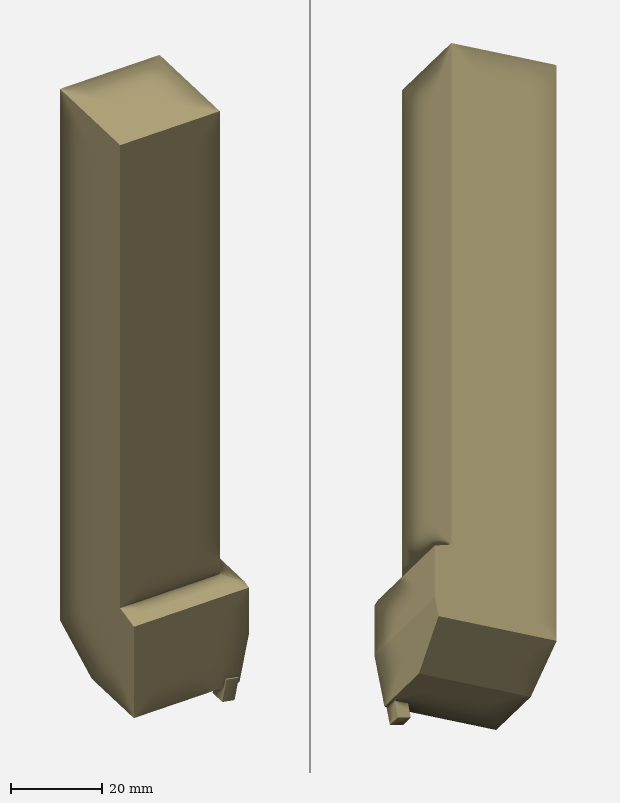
import cadquery as cq
import math

total_length = 152.5
shank_side = 25.5
shank_bottom_z = 39.8

head_width = 31.3
head_depth = 29.4
head_bottom_z = 4.0
shoulder_z = 29.7
shoulder_angle = 15.0
corner_cut_width = 13.4
corner_cut_height = 7.6
relief_top_z = 16.0
relief_depth = 2.5

insert_right_x = 31.7
insert_width = 4.1
insert_thickness = 3.2
insert_length = 5.6
insert_tip_y = 25.5
insert_tilt = 11.0


def shoulder_drop(overhang):
    """Fall of the sloping shoulder over a given overhang."""
    return overhang * math.tan(math.radians(shoulder_angle))


def make_shank():
    """Square bar above the head."""
    length = total_length - shank_bottom_z
    return (
        cq.Workplane("XY", origin=(0, 0, shank_bottom_z))
        .rect(shank_side, shank_side, centered=False)
        .extrude(length)
    )


def make_insert():
    """Rectangular bar leaning toward +Y as it rises."""
    tilt = math.radians(insert_tilt)
    rise_y = insert_length * math.sin(tilt)
    rise_z = insert_length * math.cos(tilt)
    face_y = -insert_thickness * math.cos(tilt)
    face_z = insert_thickness * math.sin(tilt)
    left_x = insert_right_x - insert_width
    return (
        cq.Workplane("YZ", origin=(left_x, insert_tip_y, 0))
        .moveTo(0, 0)
        .lineTo(rise_y, rise_z)
        .lineTo(rise_y + face_y, rise_z + face_z)
        .lineTo(face_y, face_z)
        .close()
        .extrude(insert_width)
    )


def make_head(insert):
    """Intersection of the front and side profiles, with a seat for the insert."""
    front_profile = [
        (0, shank_bottom_z),
        (shank_side, shank_bottom_z),
        (shank_side, shoulder_z),
        (head_width, shoulder_z - shoulder_drop(head_width - shank_side)),
        (head_width, head_bottom_z),
        (corner_cut_width, head_bottom_z),
        (0, head_bottom_z + corner_cut_height),
    ]
    side_profile = [
        (0, shank_bottom_z),
        (shank_side, shank_bottom_z),
        (shank_side, shoulder_z),
        (head_depth, shoulder_z - shoulder_drop(head_depth - shank_side)),
        (head_depth, relief_top_z),
        (head_depth - relief_depth, head_bottom_z),
        (0, head_bottom_z),
    ]
    front_prism = cq.Workplane("XZ").polyline(front_profile).close().extrude(-head_depth)
    side_prism = cq.Workplane("YZ").polyline(side_profile).close().extrude(head_width)
    return front_prism.intersect(side_prism).cut(insert)


shank = make_shank()
insert = make_insert()
head = make_head(insert)

result = cq.Compound.makeCompound([shank.val(), head.solids().val(), insert.val()])